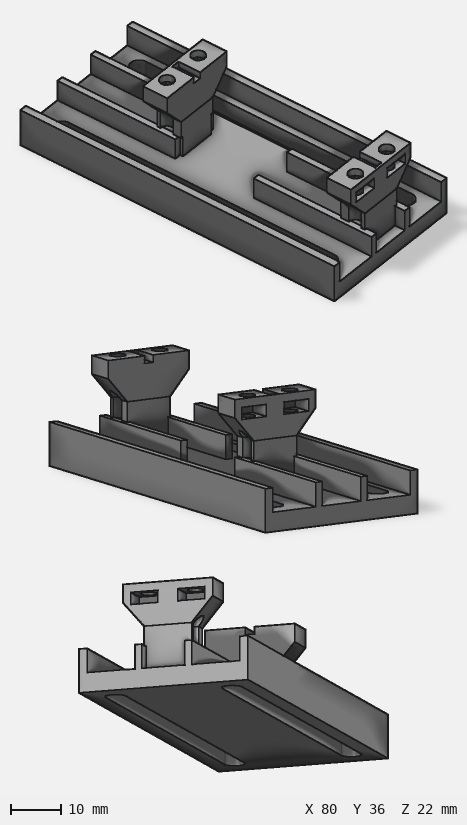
import cadquery as cq

BASE_LENGTH = 80.0
BASE_WIDTH = 36.0
FLOOR_THICKNESS = 4.0
WALL_TOP = 9.0
WALL_THICKNESS = 1.8

SLOT_LENGTH = 72.0
SLOT_WIDTH = 4.2
SLOT_CENTER_Y = 12.4

RIB_LENGTH = 30.0
RIB_INNER_Y = 4.6
RIB_OUTER_Y = 6.1

POST_DEPTH = 6.2
STEM_WIDTH = 10.2
STEM_TOP = 13.1
HEAD_WIDTH = 19.1
HEAD_SHOULDER = 18.2
HEAD_TOP = 22.0
LEFT_POST_START = 24.6
RIGHT_POST_END = 77.5

SCREW_DIAMETER = 3.2
SCREW_SPACING = 10.0
SCREW_INSET = 2.5
SCREW_BOTTOM = WALL_TOP

NUT_WIDTH = 5.8
NUT_BOTTOM = 17.8
NUT_HEIGHT = 2.5
NUT_DEPTH = 2 * SCREW_INSET

GROOVE_WIDTH = 2.0
GROOVE_LENGTH = 5.5
GROOVE_DEPTH = 1.5


def box(x_start, x_end, y_start, y_end, z_start, z_end):
    """Box between two opposite corners."""
    return cq.Workplane("XY").box(
        x_end - x_start, y_end - y_start, z_end - z_start, centered=False
    ).translate((x_start, y_start, z_start))


def screw_holes():
    """The two vertical screw holes of a post whose outer face is at x = 0."""
    half_spacing = SCREW_SPACING / 2
    return (
        cq.Workplane("XY", origin=(SCREW_INSET, 0, SCREW_BOTTOM))
        .pushPoints([(0, -half_spacing), (0, half_spacing)])
        .circle(SCREW_DIAMETER / 2)
        .extrude(HEAD_TOP - SCREW_BOTTOM)
    )


def make_stem():
    """Stem with shoulders resting on the ribs and a half-round channel down each side above them."""
    half_width = STEM_WIDTH / 2
    foot = box(0, POST_DEPTH, -RIB_INNER_Y, RIB_INNER_Y, FLOOR_THICKNESS, WALL_TOP)
    column = box(0, POST_DEPTH, -half_width, half_width, WALL_TOP, STEM_TOP)
    return foot.union(column.cut(screw_holes()))


def make_head():
    """Head with flared sides, screw holes, nut pockets and top groove; its outer face is at x = 0."""
    half_stem = STEM_WIDTH / 2
    half_head = HEAD_WIDTH / 2
    head = (
        cq.Workplane("YZ")
        .moveTo(-half_stem, STEM_TOP)
        .lineTo(half_stem, STEM_TOP)
        .lineTo(half_head, HEAD_SHOULDER)
        .lineTo(half_head, HEAD_TOP)
        .lineTo(-half_head, HEAD_TOP)
        .lineTo(-half_head, HEAD_SHOULDER)
        .close()
        .extrude(POST_DEPTH)
    )
    head = head.cut(screw_holes())
    for side in (-1, 1):
        nut_y = side * SCREW_SPACING / 2
        head = head.cut(box(
            0, NUT_DEPTH,
            nut_y - NUT_WIDTH / 2, nut_y + NUT_WIDTH / 2,
            NUT_BOTTOM, NUT_BOTTOM + NUT_HEIGHT,
        ))
    return head.cut(box(
        POST_DEPTH - GROOVE_LENGTH, POST_DEPTH,
        -GROOVE_WIDTH / 2, GROOVE_WIDTH / 2,
        HEAD_TOP - GROOVE_DEPTH, HEAD_TOP,
    ))


def place_left(body):
    """Move a post body to the left post, whose outer face looks toward -X."""
    return body.translate((LEFT_POST_START, 0, 0))


def place_right(body):
    """Mirror a post body to the right post, whose outer face looks toward +X."""
    return body.mirror("YZ").translate((RIGHT_POST_END, 0, 0))


def make_base():
    """Tray with side walls, inner ribs, and long slots."""
    half_width = BASE_WIDTH / 2
    base = box(0, BASE_LENGTH, -half_width, half_width, 0, WALL_TOP)
    inner_half = half_width - WALL_THICKNESS
    base = base.cut(box(0, BASE_LENGTH, -inner_half, inner_half, FLOOR_THICKNESS, WALL_TOP))
    for rib_start in (0, BASE_LENGTH - RIB_LENGTH):
        for rib_y in (-RIB_OUTER_Y, RIB_INNER_Y):
            base = base.union(box(
                rib_start, rib_start + RIB_LENGTH,
                rib_y, rib_y + RIB_OUTER_Y - RIB_INNER_Y,
                FLOOR_THICKNESS, WALL_TOP,
            ))
    slots = (
        cq.Workplane("XY")
        .pushPoints([(BASE_LENGTH / 2, -SLOT_CENTER_Y), (BASE_LENGTH / 2, SLOT_CENTER_Y)])
        .slot2D(SLOT_LENGTH, SLOT_WIDTH)
        .extrude(FLOOR_THICKNESS)
    )
    base = base.cut(slots)
    return base


base = make_base()
posts = []
for place in (place_left, place_right):
    posts.append(place(make_stem()).val())
    posts.append(place(make_head()).val())

result = cq.Compound.makeCompound([base.val(), *posts])